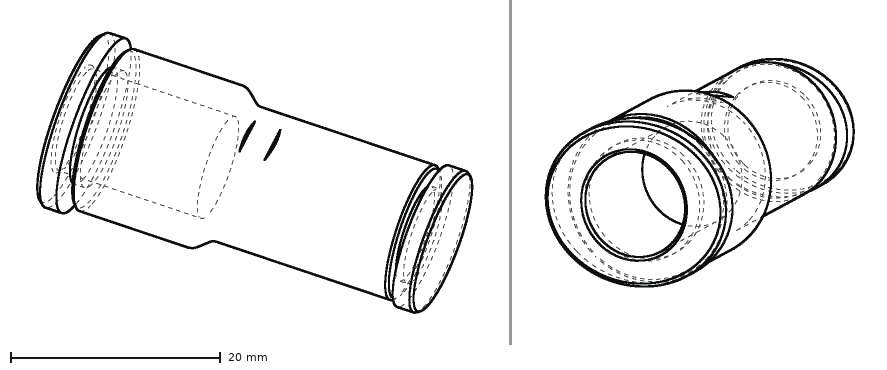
import cadquery as cq

total_length = 38.2

large_collar_width = 18.5
large_collar_height = 16.05
large_collar_thickness = 2.15
large_collar_bevel_depth = 0.45
large_collar_bevel_inset = 0.4
large_neck_radius = 5.9

small_collar_width = 14.97
small_collar_height = 13.05
small_collar_thickness = 2.05
small_collar_bevel_depth = 0.35
small_collar_bevel_inset = 0.23
small_neck_radius = 4.78

body_start = 3.2
body_end = 35.35
large_body_radius = 16.3 / 2
small_body_radius = 13.55 / 2
shoulder_start = 14.97
shoulder_end = 16.6
shoulder_outer_fillet = 0.85
shoulder_inner_fillet = 1.07
body_chamfer = 0.25

socket_radius = 5.1
socket_chamfer = 0.3
socket_depth = shoulder_start

flat_start = 18.0
flat_length = 2.6
flat_height = 6.5
flat_start_slope = 0.15
flat_end_slope = 0.3


def stepped_body():
    """Round body with a conical, filleted shoulder and chamfered ends."""
    body = (
        cq.Workplane("XY")
        .moveTo(body_start, 0)
        .lineTo(body_start, large_body_radius)
        .lineTo(shoulder_start, large_body_radius)
        .lineTo(shoulder_end, small_body_radius)
        .lineTo(body_end, small_body_radius)
        .lineTo(body_end, 0)
        .close()
        .revolve(360, (0, 0, 0), (1, 0, 0))
    )

    shoulder_outer_edge = cq.selectors.NearestToPointSelector((shoulder_start, 0, 0))
    shoulder_inner_edge = cq.selectors.NearestToPointSelector((shoulder_end, 0, 0))
    body = body.edges("%CIRCLE").edges(shoulder_outer_edge).fillet(shoulder_outer_fillet)
    body = body.edges("%CIRCLE").edges(shoulder_inner_edge).fillet(shoulder_inner_fillet)
    return body.faces("<X or >X").edges().chamfer(body_chamfer)


def neck(start, end, radius):
    """Round neck joining a collar to the body."""
    return cq.Workplane("YZ", origin=(start, 0, 0)).circle(radius).extrude(end - start)


def oval_collar(start, thickness, width, height):
    """Elliptical disc, wide along Y."""
    return cq.Workplane("YZ", origin=(start, 0, 0)).ellipse(width / 2, height / 2).extrude(thickness)


def flat_cutter():
    """Trapezoid prism that opens upward and spans the body across Y."""
    rise = small_body_radius - flat_height
    flat_end = flat_start + flat_length
    return (
        cq.Workplane("XZ")
        .moveTo(flat_start, flat_height)
        .lineTo(flat_end, flat_height)
        .lineTo(flat_end + flat_end_slope, flat_height + rise)
        .lineTo(flat_start - flat_start_slope, flat_height + rise)
        .close()
        .extrude(small_body_radius, both=True)
    )


def socket_cutter():
    """Blind tube socket with a chamfered mouth."""
    return (
        cq.Workplane("XY")
        .lineTo(0, socket_radius + socket_chamfer)
        .lineTo(socket_chamfer, socket_radius)
        .lineTo(socket_depth, socket_radius)
        .lineTo(socket_depth, 0)
        .close()
        .revolve(360, (0, 0, 0), (1, 0, 0))
    )


large_collar = oval_collar(0, large_collar_thickness, large_collar_width, large_collar_height)
large_collar = large_collar.faces("<X").chamfer(large_collar_bevel_depth, large_collar_bevel_inset)

small_collar_start = total_length - small_collar_thickness
small_collar = oval_collar(
    small_collar_start, small_collar_thickness, small_collar_width, small_collar_height
)
small_collar = small_collar.faces(">X").chamfer(small_collar_bevel_depth, small_collar_bevel_inset)

result = (
    stepped_body()
    .cut(flat_cutter())
    .union(neck(large_collar_thickness, body_start, large_neck_radius))
    .union(large_collar)
    .union(neck(body_end, small_collar_start, small_neck_radius))
    .union(small_collar)
    .cut(socket_cutter())
)